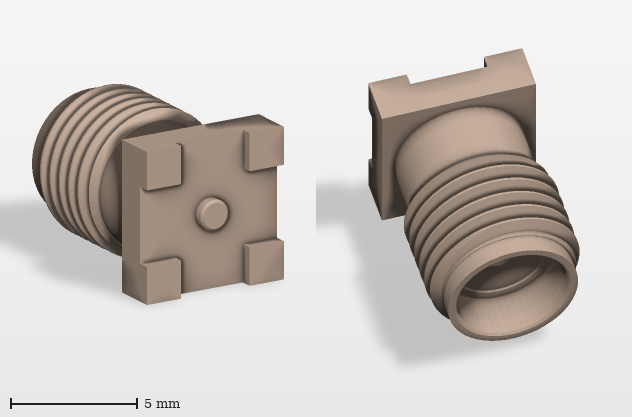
import cadquery as cq
import math

total_length = 9.53
flange_side = 6.35
flange_thickness = 1.91
flange_front = total_length - flange_thickness

barrel_radius = 2.68
bore_radius = 2.32
bore_lead_in = 0.09
bore_depth = 1.92

insulator_radius = 1.95
insulator_setback = 0.11
socket_radius = 0.52
socket_lead_in = 0.09
socket_depth = 1.91
drill_tip_half_angle = 59.0

thread_start = 0.76
thread_end = 5.09
thread_pitch = 0.705
thread_major_radius = 3.145
thread_root_radius = 2.72
thread_flank_angle = 30.0
thread_crest_width = thread_pitch / 8
thread_first_crest = 1.25
thread_root_overlap = 0.05
thread_crest_clearance = 0.1

foot_height = 0.51
foot_gap = flange_side / 2
foot_base = total_length - foot_height
pin_radius = 0.64
pin_chamfer = 0.1


def cylinder(start, end, radius):
    return cq.Workplane("YZ", origin=(start, 0, 0)).circle(radius).extrude(end - start)


def revolve_about_axis(points):
    """Revolve a closed outline of (x, radius) points about the X axis."""
    return cq.Workplane("XZ").polyline(points).close().revolve(360, (0, 0, 0), (1, 0, 0))


def thread():
    """Helical ridge on its root cylinder, bevelled at 45 degrees at both ends."""
    ridge_base_radius = thread_root_radius - thread_root_overlap
    half_crest = thread_crest_width / 2
    flank_width = (thread_major_radius - ridge_base_radius) * math.tan(math.radians(thread_flank_angle))
    half_base = half_crest + flank_width

    ridge_start = thread_first_crest - 2 * thread_pitch
    turns = math.ceil((thread_end - ridge_start) / thread_pitch) + 1
    profile = (
        cq.Workplane("XZ")
        .moveTo(ridge_base_radius, -half_base)
        .lineTo(thread_major_radius, -half_crest)
        .lineTo(thread_major_radius, half_crest)
        .lineTo(ridge_base_radius, half_base)
        .close()
    )
    helix = cq.Wire.makeHelix(thread_pitch, turns * thread_pitch, ridge_base_radius)
    ridge = profile.sweep(cq.Workplane(helix), isFrenet=True)
    ridge = ridge.rotate((0, 0, 0), (0, 1, 0), 90).rotate((0, 0, 0), (1, 0, 0), 180)
    ridge = ridge.translate((ridge_start, 0, 0))

    envelope_radius = thread_major_radius + thread_crest_clearance
    bevel = envelope_radius - thread_root_radius
    envelope = revolve_about_axis([
        (thread_start, 0),
        (thread_start, thread_root_radius),
        (thread_start + bevel, envelope_radius),
        (thread_end - bevel, envelope_radius),
        (thread_end, thread_root_radius),
        (thread_end, 0),
    ])
    root = cylinder(thread_start, thread_end, thread_root_radius)
    return root.union(ridge.intersect(envelope))


def flange():
    """Square block with a cross-shaped channel that leaves a foot at each corner."""
    block = cq.Workplane("XY").box(flange_thickness, flange_side, flange_side)
    block = block.translate((flange_front + flange_thickness / 2, 0, 0))
    channel_x = foot_base + foot_height / 2
    for width_y, width_z in ((flange_side, foot_gap), (foot_gap, flange_side)):
        channel = cq.Workplane("XY").box(foot_height, width_y, width_z)
        block = block.cut(channel.translate((channel_x, 0, 0)))
    return block


def contact_pin():
    return cylinder(foot_base - pin_radius, total_length, pin_radius).faces(">X").chamfer(pin_chamfer)


def interior():
    """Bore, insulator recess and drilled contact socket as one revolved cavity."""
    insulator_face = bore_depth + insulator_setback
    socket_bottom = insulator_face + socket_depth
    drill_tip = (socket_radius - socket_lead_in) / math.tan(math.radians(drill_tip_half_angle))
    return revolve_about_axis([
        (0, 0),
        (0, bore_radius + bore_lead_in),
        (bore_lead_in, bore_radius),
        (bore_depth, bore_radius),
        (bore_depth, insulator_radius),
        (insulator_face, insulator_radius),
        (insulator_face, socket_radius),
        (insulator_face + socket_lead_in, socket_radius - socket_lead_in),
        (socket_bottom, socket_radius - socket_lead_in),
        (socket_bottom + drill_tip, 0),
    ])


barrel = cylinder(0, flange_front, barrel_radius)
result = barrel.union(thread()).union(flange()).union(contact_pin()).cut(interior())